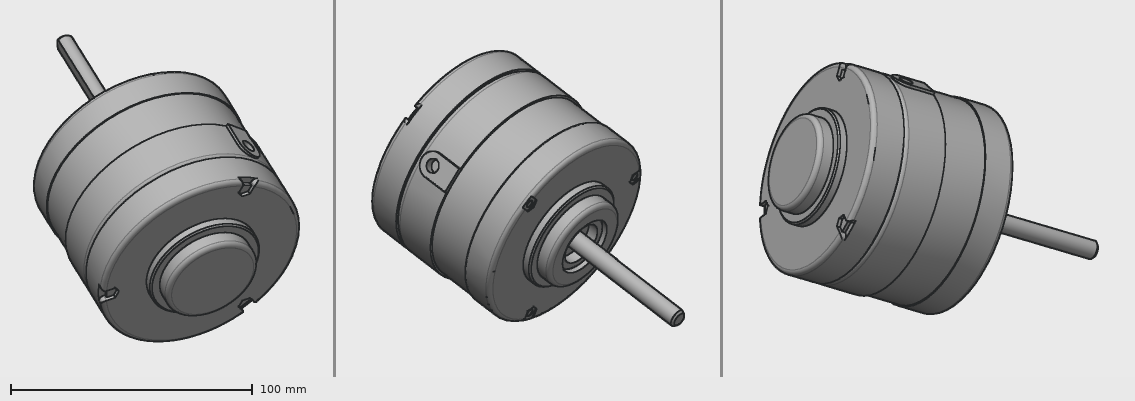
import cadquery as cq
import math

total_length = 146.3
shaft_length = 55.3
hub_height = 7.0
flange_height = 4.0
body_start = shaft_length + hub_height + flange_height
body_end = total_length - hub_height - flange_height

shaft_diameter = 8.0
shaft_tip_diameter = 6.0
flat_length = 39.8
flat_depth = 1.3

hub_diameter = 41.5
hub_fillet = 2.0
flange_diameter = 50.0
flange_chamfer = 0.7

seat_diameter = 26.0
seat_depth = 2.0
bearing_fillet = 0.9
bearing_bore = 19.0
bearing_bore_depth = 5.0

core_diameter = 89.0
front_cup_diameter = 90.0
band_diameter = 91.0
cup_fillet = 2.0
front_cup_length = 14.0
band_start = 100.0
band_length = 20.2
band_end = band_start + band_length
band_fillet = 2.3
rear_cup_overlap = 0.1

pocket_angles = (60, 180, 300)
pocket_radius = 41.0
pocket_width = 6.0
front_pocket_depth = 0.6
screw_hole_diameter = 3.4
screw_hole_depth = 0.9
rear_pocket_depth = 1.6
rear_slot_depth = 3.0
rear_slot_bottom = 42.4
mouth_fillet = 2.0

tab_angle = 45
tab_width = 11.7
tab_height = 46.4
tab_root = 1.5
tab_end = 117.6
tab_hole_position = 111.3
tab_hole_diameter = 6.0
tab_hole_depth = 4.2


def disc(start, end, diameter):
    """Cylinder along X between two stations."""
    return cq.Workplane("YZ", origin=(start, 0, 0)).circle(diameter / 2).extrude(end - start)


def make_body():
    front_cup = disc(body_start, body_start + front_cup_length, front_cup_diameter)
    front_cup = front_cup.faces("<X").edges().fillet(cup_fillet)
    core = disc(body_start + front_cup_length, band_end, core_diameter)
    band = disc(band_start, band_end, band_diameter).faces(">X").edges().fillet(band_fillet)
    rear_cup = disc(band_end - rear_cup_overlap, body_end, band_diameter)
    rear_cup = rear_cup.faces(">X").edges().fillet(cup_fillet)
    return front_cup.union(core).union(band).union(rear_cup)


def make_hub(face, direction):
    """Filleted hub on a chamfered flange; direction points from the hub face into the body."""
    outer = "<X" if direction > 0 else ">X"
    flange_face = face + direction * hub_height
    hub = disc(face, flange_face, hub_diameter).faces(outer).edges().fillet(hub_fillet)
    flange = disc(flange_face, flange_face + direction * flange_height, flange_diameter)
    return hub.union(flange.faces(outer).edges().chamfer(flange_chamfer))


def cut_bearing_seat(part):
    """Open the seat and leave the rounded outer ring of the bearing at its floor."""
    floor = shaft_length + seat_depth
    ring_end = floor + bearing_bore_depth
    ring = disc(floor, ring_end, seat_diameter).faces("<X").edges().fillet(bearing_fillet)
    ring = ring.cut(disc(floor, ring_end, bearing_bore))
    return part.cut(disc(shaft_length, ring_end, seat_diameter)).union(ring)


def make_shaft():
    shaft = disc(0, body_start, shaft_diameter)
    shaft = shaft.faces("<X").edges().chamfer((shaft_diameter - shaft_tip_diameter) / 2)
    flat_y = -shaft_diameter / 2 + flat_depth
    flat_cut = cq.Workplane("XY").box(flat_length, flat_depth, shaft_diameter, centered=(False, False, True))
    return shaft.cut(flat_cut.translate((0, flat_y - flat_depth, 0)))


def hex_pocket(start, depth):
    """Hexagon on the +Y side with one corner toward the axis, open through the rim."""
    hex_diameter = pocket_width / math.cos(math.pi / 6)
    plane = cq.Workplane("YZ", origin=(start, 0, 0)).center(pocket_radius, 0)
    hexagon = plane.polygon(6, hex_diameter).extrude(depth)
    return hexagon.union(open_slot(start, depth, pocket_radius))


def open_slot(start, depth, bottom):
    """Straight slot on the +Y side from a bottom radius out past the rim."""
    length = band_diameter / 2 - bottom
    plane = cq.Workplane("YZ", origin=(start, 0, 0)).center(bottom + length / 2, 0)
    return plane.rect(length, pocket_width).extrude(depth)


def rear_mouth():
    """Opening where a rear slot meets the rim, with rounded corners."""
    outside = band_diameter / 2
    half_slot = pocket_width / 2
    half_mouth = half_slot + mouth_fillet
    rim = math.sqrt(outside**2 - half_mouth**2)
    mouth = cq.Workplane("YZ", origin=(body_end - rear_slot_depth, 0, 0))
    mouth = mouth.moveTo(rim - mouth_fillet, -half_slot).radiusArc((rim, -half_mouth), mouth_fillet)
    mouth = mouth.lineTo(outside, -half_mouth).lineTo(outside, half_mouth).lineTo(rim, half_mouth)
    mouth = mouth.radiusArc((rim - mouth_fillet, half_slot), mouth_fillet)
    return mouth.close().extrude(rear_slot_depth)


def cut_nut_pockets(part):
    screw_hole = disc(body_start, body_start + screw_hole_depth, screw_hole_diameter)
    front_cutter = hex_pocket(body_start, front_pocket_depth)
    front_cutter = front_cutter.union(screw_hole.translate((0, pocket_radius, 0)))
    rear_cutter = hex_pocket(body_end - rear_pocket_depth, rear_pocket_depth)
    rear_cutter = rear_cutter.union(open_slot(body_end - rear_slot_depth, rear_slot_depth, rear_slot_bottom))
    rear_cutter = rear_cutter.union(rear_mouth())
    for angle in pocket_angles:
        for cutter in (front_cutter, rear_cutter):
            part = part.cut(cutter.rotate((0, 0, 0), (1, 0, 0), angle))
    return part


def add_terminal_tab(part):
    tab_radius = tab_width / 2
    round_center = tab_end - tab_radius
    base = core_diameter / 2 - tab_root
    tab = cq.Workplane("XY", origin=(0, 0, base)).moveTo(band_start, -tab_radius)
    tab = tab.lineTo(round_center, -tab_radius).threePointArc((tab_end, 0), (round_center, tab_radius))
    tab = tab.lineTo(band_start, tab_radius).close().extrude(tab_height - base)
    hole = cq.Workplane("XY", origin=(tab_hole_position, 0, tab_height)).circle(tab_hole_diameter / 2)
    hole = hole.extrude(-tab_hole_depth)
    part = part.union(tab.rotate((0, 0, 0), (1, 0, 0), -tab_angle))
    return part.cut(hole.rotate((0, 0, 0), (1, 0, 0), -tab_angle))


result = make_body()
result = result.union(make_hub(shaft_length, 1)).union(make_hub(total_length, -1))
result = cut_bearing_seat(result).union(make_shaft())
result = cut_nut_pockets(result)
result = add_terminal_tab(result)